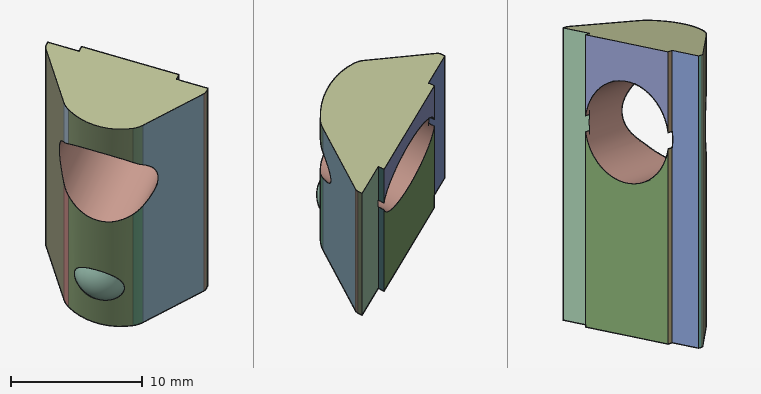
import cadquery as cq
import math

length = 23.0
width = 13.0
pad_width = 7.9
pad_height = 0.5
body_depth = 6.5
side_height = 0.5
flank_angle = 35.0
nose_radius = 5.0
flank_nose_radius = 2.0
side_corner_radius = 0.5

hole_diameter = 8.0
hole_from_top = 7.0

ball_radius = 2.4
ball_projection = 0.69
ball_height = 4.5

half_width = width / 2
half_pad = pad_width / 2
crest_y = -body_depth
nose_center_y = crest_y + nose_radius


def flank_nose_corner():
    """Point where the straight flank on the +X side meets the nose circle."""
    dir_x = -math.sin(math.radians(flank_angle))
    dir_y = -math.cos(math.radians(flank_angle))
    start_x = half_width
    start_y = -side_height - nose_center_y
    along = start_x * dir_x + start_y * dir_y
    excess = start_x**2 + start_y**2 - nose_radius**2
    travel = -along + math.sqrt(along**2 - excess)
    return start_x + travel * dir_x, -side_height + travel * dir_y


def make_body():
    corner_x, corner_y = flank_nose_corner()
    body = (
        cq.Workplane("XY")
        .moveTo(-half_width, 0)
        .lineTo(-half_pad, 0)
        .lineTo(-half_pad, pad_height)
        .lineTo(half_pad, pad_height)
        .lineTo(half_pad, 0)
        .lineTo(half_width, 0)
        .lineTo(half_width, -side_height)
        .lineTo(corner_x, corner_y)
        .threePointArc((0, crest_y), (-corner_x, corner_y))
        .lineTo(-half_width, -side_height)
        .close()
        .extrude(length)
    )
    for x, y, radius in (
        (half_width, -side_height, side_corner_radius),
        (corner_x, corner_y, flank_nose_radius),
    ):
        for side in (1, -1):
            edge_middle = (side * x, y, length / 2)
            body = body.edges(cq.selectors.NearestToPointSelector(edge_middle)).fillet(radius)
    return body


def make_hole():
    hole_z = length - hole_from_top
    return (
        cq.Workplane("XZ", origin=(0, pad_height, hole_z))
        .circle(hole_diameter / 2)
        .extrude(body_depth + pad_height)
    )


def make_ball():
    ball_y = crest_y - ball_projection + ball_radius
    return cq.Workplane("XY").sphere(ball_radius).translate((0, ball_y, ball_height))


result = make_body().cut(make_hole()).union(make_ball())